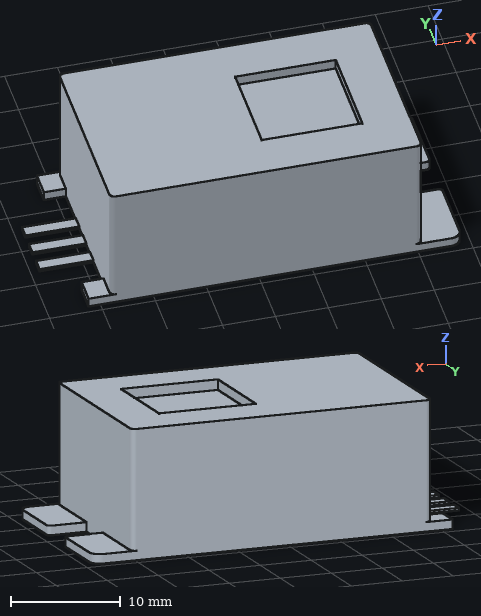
import cadquery as cq

total_length = 38.3
width = 18.5
height = 12.4

body_start = 5.1
body_length = 29.4
body_end = body_start + body_length
body_corner_radius = 0.5

flange_thickness = 0.92
flange_start = 3.03
front_tab_width = 2.53
slot_width = 4.05
outer_corner_radius = 1.0
slot_corner_radius = 0.4
tab_edge_taper = 0.05

pin_count = 3
pin_pitch = 2.53
pin_width = 1.25
pin_thickness = 0.25

pocket_start = 20.55
pocket_side = 9.5
pocket_depth = 1.0


def block(x_start, x_end, y_start, y_end, z_start, z_end):
    """Box given by its limits along each axis."""
    size = (x_end - x_start, y_end - y_start, z_end - z_start)
    return cq.Workplane("XY").box(*size, centered=False).translate((x_start, y_start, z_start))


def make_housing():
    """Housing with rounded corners above the flange and a square core down to the underside."""
    half_width = width / 2
    upper = block(body_start, body_end, -half_width, half_width, flange_thickness, height)
    upper = upper.edges("|Z").fillet(body_corner_radius)
    core = block(body_start, body_end, -half_width, half_width, 0, flange_thickness)
    return upper.union(core)


def make_front_tab(side):
    """Square tab at the pin end, flush with the housing on the given side (+1 or -1)."""
    edges = sorted((side * width / 2, side * (width / 2 - front_tab_width)))
    return block(flange_start, body_start, *edges, 0, flange_thickness)


def make_rear_tab(side, edge_taper):
    """Rounded tab beside the rear slot; its outer end is set back by edge_taper."""
    inner_y = side * slot_width / 2
    outer_y = side * width / 2
    tab = (
        cq.Workplane("XY")
        .moveTo(body_end, inner_y)
        .lineTo(total_length, inner_y)
        .lineTo(total_length - edge_taper, outer_y)
        .lineTo(body_end, outer_y)
        .close()
        .extrude(flange_thickness)
    )
    slot_corner = cq.selectors.NearestToPointSelector((total_length, inner_y, flange_thickness / 2))
    outer_corner = cq.selectors.NearestToPointSelector((total_length, outer_y, flange_thickness / 2))
    tab = tab.edges(slot_corner).fillet(slot_corner_radius)
    return tab.edges(outer_corner).fillet(outer_corner_radius)


def make_pin(index):
    """Flat pin on the underside, reaching out from the housing."""
    centre_y = (index - (pin_count - 1) / 2) * pin_pitch
    return block(0, body_start, centre_y - pin_width / 2, centre_y + pin_width / 2, 0, pin_thickness)


def make_pocket():
    """Square pocket volume, centred across the width."""
    half_side = pocket_side / 2
    pocket_end = pocket_start + pocket_side
    return block(pocket_start, pocket_end, -half_side, half_side, height - pocket_depth, height)


result = make_housing()
for side in (-1, 1):
    result = result.union(make_front_tab(side))

result = result.union(make_rear_tab(-1, 0))
result = result.union(make_rear_tab(1, tab_edge_taper))

for pin_index in range(pin_count):
    result = result.union(make_pin(pin_index))

result = result.cut(make_pocket()).clean()